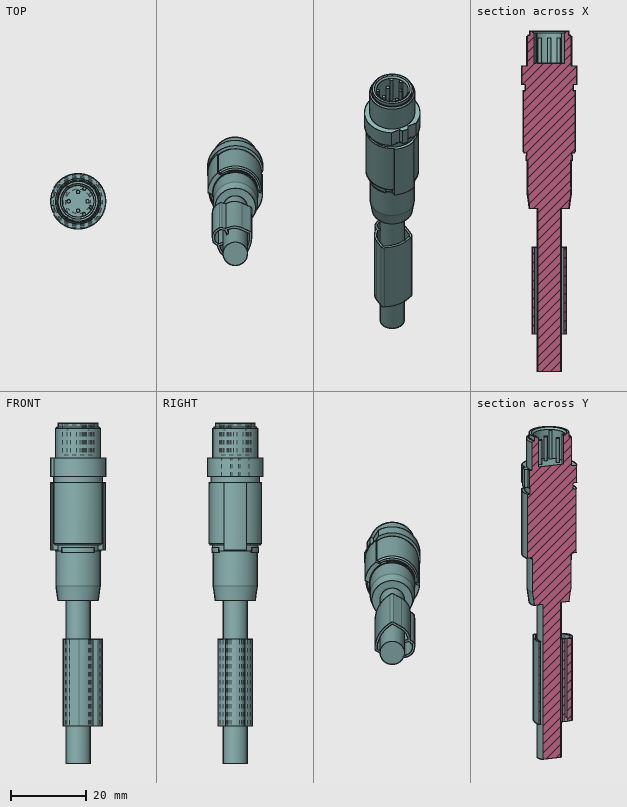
import math

import cadquery as cq

total_length = 90.3

cable_radius = 3.25
nose_radius = 5.3
thread_radius = 6.0
thread_chamfer = 0.4
ring_radius = 7.38
neck_radius = 6.5
sleeve_radius = 7.0
sleeve_end_radius = 6.6
collar_radius = 6.05
body_radius = 5.9
body_end_radius = 5.35

nose_depth = 1.1
ring_top_depth = 9.25
ring_bottom_depth = 14.2
sleeve_top_depth = 15.8
sleeve_bevel_depth = 31.9
sleeve_end_depth = 32.4
collar_end_depth = 33.95
body_taper_depth = 43.2
body_end_depth = 47.1

socket_depth = 8.5
socket_radius = 4.2
socket_chamfer = 0.5
pin_count = 4
pin_circle_radius = 2.5
pin_radius = 0.45
pin_tip_depth = 1.8
rib_angles = (63.5, -25, -65)
rib_inner_radius = 3.45
rib_width = 0.8
rib_top_depth = socket_chamfer

pointer_flat_x = -6.4
pointer_root_half_width = 1.22
pointer_tip_half_width = 0.75
pointer_tip_radius = 7.29

wing_radius = 7.29
wing_width = 5.95
wing_end_depth = 33.7
pad_radius = 6.2
pad_half_angle = 45
pad_top_depth = 32.95
pad_end_depth = 34.3

clip_top_depth = 57.3
clip_length = 23.1
clip_wall = 0.6
clip_half_width = 4.63
clip_arc_center_x = 0.2
clip_back_x = -3.95
clip_corner_x = -3.0
clip_corner_y = 3.97
clip_side_start_x = -2.3
window_root_x = 4.0
window_side_x = 5.1
window_side_y = 2.4
window_corner_x = 5.6
window_corner_y = 2.05
window_front_x = 6.45
back_corner_bulge = 0.15
window_corner_bulge = 0.08
finger_root = (3.9, 2.4)
finger_tip = (2.7, 1.2)


def height(depth):
    """Z of a point at the given depth below the plug face."""
    return total_length - depth


def disc(radius, top_depth, end_depth):
    return cq.Workplane("XY", origin=(0, 0, height(end_depth))).circle(radius).extrude(end_depth - top_depth)


def make_turned_body():
    """Solid of revolution from the cable end to the plug face, without the coupling ring."""
    profile = [
        (0, 0),
        (cable_radius, 0),
        (cable_radius, height(body_end_depth)),
        (body_end_radius, height(body_end_depth)),
        (body_radius, height(body_taper_depth)),
        (body_radius, height(collar_end_depth)),
        (collar_radius, height(collar_end_depth)),
        (collar_radius, height(sleeve_end_depth)),
        (sleeve_end_radius, height(sleeve_end_depth)),
        (sleeve_radius, height(sleeve_bevel_depth)),
        (sleeve_radius, height(sleeve_top_depth)),
        (neck_radius, height(sleeve_top_depth)),
        (neck_radius, height(ring_top_depth)),
        (thread_radius, height(ring_top_depth)),
        (thread_radius, height(nose_depth + thread_chamfer)),
        (thread_radius - thread_chamfer, height(nose_depth)),
        (nose_radius, height(nose_depth)),
        (nose_radius, total_length),
        (0, total_length),
    ]
    return cq.Workplane("XZ").polyline(profile).close().revolve(360, (0, 0, 0), (0, 1, 0))


def make_ring():
    """Coupling ring with a pointer standing between two flats."""
    ring = disc(ring_radius, ring_top_depth, ring_bottom_depth)
    ring_height = ring_bottom_depth - ring_top_depth
    base = cq.Workplane("XY", origin=(0, 0, height(ring_bottom_depth)))
    flat_depth = ring_radius + pointer_flat_x
    flat_center_x = pointer_flat_x - flat_depth / 2
    flat = base.center(flat_center_x, 0).rect(flat_depth, 2 * ring_radius).extrude(ring_height)
    pointer_outline = [
        (0, pointer_root_half_width),
        (pointer_flat_x, pointer_root_half_width),
        (-ring_radius, pointer_tip_half_width),
        (-ring_radius, -pointer_tip_half_width),
        (pointer_flat_x, -pointer_root_half_width),
        (0, -pointer_root_half_width),
    ]
    pointer = base.polyline(pointer_outline).close().extrude(ring_height)
    pointer = pointer.intersect(disc(pointer_tip_radius, ring_top_depth, ring_bottom_depth))
    return ring.cut(flat).union(pointer)


def make_wings():
    """The part of a disc that lies in a strip along X, which leaves a wing on each side."""
    strip_height = wing_end_depth - sleeve_top_depth
    strip = (
        cq.Workplane("XY", origin=(0, 0, height(wing_end_depth)))
        .rect(2 * ring_radius, wing_width)
        .extrude(strip_height)
    )
    return disc(wing_radius, sleeve_top_depth, wing_end_depth).intersect(strip)


def make_pad(middle_angle):
    """Sector of the pad ring, centred on the given direction."""

    def rim_point(angle):
        direction = math.radians(angle)
        return (pad_radius * math.cos(direction), pad_radius * math.sin(direction))

    return (
        cq.Workplane("XY", origin=(0, 0, height(pad_end_depth)))
        .lineTo(*rim_point(middle_angle - pad_half_angle))
        .threePointArc(rim_point(middle_angle), rim_point(middle_angle + pad_half_angle))
        .close()
        .extrude(pad_end_depth - pad_top_depth)
    )


def make_socket():
    """Round cavity with a chamfered mouth, open at the plug face."""
    profile = [
        (0, height(socket_depth)),
        (socket_radius, height(socket_depth)),
        (socket_radius, height(socket_chamfer)),
        (socket_radius + socket_chamfer, total_length),
        (0, total_length),
    ]
    return cq.Workplane("XZ").polyline(profile).close().revolve(360, (0, 0, 0), (0, 1, 0))


def make_pins():
    return (
        cq.Workplane("XY", origin=(0, 0, height(socket_depth)))
        .polarArray(pin_circle_radius, 0, 360, pin_count)
        .circle(pin_radius)
        .extrude(socket_depth - pin_tip_depth)
    )


def make_rib(angle):
    """Coding rib that runs from the socket wall toward the axis."""
    rib_outer_radius = (socket_radius + nose_radius) / 2
    rib_length = rib_outer_radius - rib_inner_radius
    rib = (
        cq.Workplane("XY", origin=(0, 0, height(socket_depth)))
        .center(rib_inner_radius + rib_length / 2, 0)
        .rect(rib_length, rib_width)
        .extrude(socket_depth - rib_top_depth)
    )
    return rib.rotate((0, 0, 0), (0, 0, 1), angle)


def arc_point(x):
    """Point of the clip's round flank (+Y side) at the given x."""
    return (x, math.sqrt(clip_half_width**2 - (x - clip_arc_center_x) ** 2))


def midpoint_outward(start, end, bulge):
    """Middle of a chord, pushed out to its left by the bulge."""
    chord_x = end[0] - start[0]
    chord_y = end[1] - start[1]
    chord = math.hypot(chord_x, chord_y)
    middle_x = (start[0] + end[0]) / 2
    middle_y = (start[1] + end[1]) / 2
    return (middle_x - bulge * chord_y / chord, middle_y + bulge * chord_x / chord)


def mirrored(point):
    return (point[0], -point[1])


def clip_outline():
    """Closed outer outline of the clip, symmetric about the X axis."""
    back = (clip_corner_x, clip_corner_y)
    side_start = (clip_side_start_x, clip_half_width)
    corner_middle = midpoint_outward(back, side_start, back_corner_bulge)
    side_end = (clip_arc_center_x, clip_half_width)
    flank_middle = arc_point((clip_arc_center_x + window_root_x) / 2)
    window_root = arc_point(window_root_x)
    window_side = (window_side_x, window_side_y)
    window_corner = (window_corner_x, window_corner_y)
    window_middle = midpoint_outward(window_side, window_corner, window_corner_bulge)
    return (
        cq.Workplane("XY", origin=(0, 0, height(clip_top_depth + clip_length)))
        .moveTo(*back)
        .threePointArc(corner_middle, side_start)
        .lineTo(*side_end)
        .threePointArc(flank_middle, window_root)
        .lineTo(*window_side)
        .threePointArc(window_middle, window_corner)
        .threePointArc((window_front_x, 0), mirrored(window_corner))
        .threePointArc(mirrored(window_middle), mirrored(window_side))
        .lineTo(*mirrored(window_root))
        .threePointArc(mirrored(flank_middle), mirrored(side_end))
        .lineTo(*mirrored(side_start))
        .threePointArc(mirrored(corner_middle), mirrored(back))
        .threePointArc((clip_back_x, 0), back)
        .close()
    )


def make_clip():
    """Hollow clip with the two webs that hold it on the cable."""
    cavity = clip_outline().offset2D(-clip_wall).extrude(clip_length)
    clip = clip_outline().extrude(clip_length).cut(cavity)
    for side in (1, -1):
        clip = clip.union(make_finger(side))
    return clip


def make_finger(side):
    """Web that joins the clip wall to the cable on the +Y (1) or -Y (-1) side."""
    run_x = finger_root[0] - finger_tip[0]
    run_y = finger_root[1] - finger_tip[1]
    center_x = (finger_root[0] + finger_tip[0]) / 2
    center_y = side * (finger_root[1] + finger_tip[1]) / 2
    return (
        cq.Workplane("XY", origin=(center_x, center_y, height(clip_top_depth + clip_length)))
        .transformed(rotate=(0, 0, side * math.degrees(math.atan2(run_y, run_x))))
        .rect(math.hypot(run_x, run_y), clip_wall)
        .extrude(clip_length)
    )


result = make_turned_body().union(make_ring()).union(make_wings())
for pad_angle in (90, -90):
    result = result.union(make_pad(pad_angle))
result = result.cut(make_socket()).union(make_pins())
for rib_angle in rib_angles:
    result = result.union(make_rib(rib_angle))
result = result.union(make_clip())